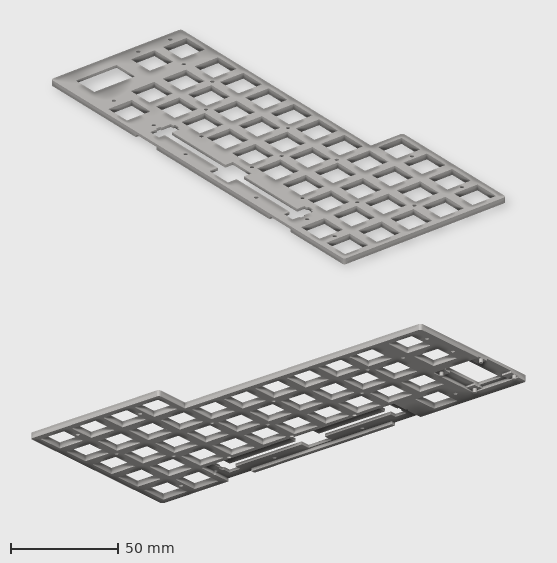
import cadquery as cq
LENGTH = 220.5
DEPTH = 96.5
THICKNESS = 3.0
THIN = 1.5
CORNER_RADIUS = 1.3
SIDE_BORDER = 1.0

SIDE_KEY_CELLS = 1.5
MAIN_COLUMNS = 10
ROWS = 5
PITCH = (LENGTH - 2 * SIDE_BORDER) / (SIDE_KEY_CELLS + MAIN_COLUMNS)
FRONT_BORDER = (DEPTH - ROWS * PITCH) / 2
KEY_HOLE = 14.0
TOP_COLUMNS = 4
LOW_KEY_CENTRE = 2.375
SPACE_CENTRE = 6.375

SCREW_DIAMETER = 2.0
SCREW_POINTS = [
    (162.7, 86.2), (200.5, 86.2),
    (4.6, 67.5), (4.6, 48.5),
    (27.1, 57.8), (48.5, 57.8), (105.5, 57.8), (143.5, 56.7), (200.5, 57.8),
    (67.7, 38.8), (124.5, 38.8), (181.5, 38.8),
    (86.7, 21.2), (124.5, 21.2), (162.5, 21.2),
    (34.5, 10.4), (64.4, 10.4), (179.7, 10.4), (200.5, 10.4),
    (95.5, 4.6), (148.6, 4.6),
]

STAB_OFFSET = 50.3
STAB_WIDTH = 6.6
STAB_BOTTOM = 4.9
STAB_TOP = 17.2
STAB_TOP_NOTCH_WIDTH = 3.0
STAB_TOP_NOTCH = 1.0
STAB_SIDE_NOTCH = 0.9
STAB_SIDE_NOTCH_BOTTOM = 9.0
STAB_SIDE_NOTCH_TOP = 11.7
WIRE_SLOT_BOTTOM = 8.4
WIRE_SLOT_TOP = 12.8
STAB_POCKET_WIDTH = 15.7
FRONT_RIM = 2.2

WINDOW_CENTRE_Y = 20.5
WINDOW_WIDTH = 14.0
WINDOW_DEPTH = 24.3
SEAT_LENGTH = 27.3
SEAT_FRONT = 6.0
SEAT_BACK = 35.3
SEAT_HEIGHT = 0.7
EDGE_POCKET_FRONT = 11.2
EDGE_POCKET_BACK = 29.0
POCKET_LEFT = 5.5
PEG_DIAMETER = 2.0
PEG_DROP = 1.3
PEG_X = (PEG_DIAMETER / 2, 25.0)
PEG_Y = (7.7, 32.2)


def column_x(column):
    """X of a key centre in the regular columns."""
    return SIDE_BORDER + (SIDE_KEY_CELLS + column + 0.5) * PITCH


def row_y(row):
    """Y of a key centre, counting rows from the front."""
    return FRONT_BORDER + (row + 0.5) * PITCH


def block(x_min, x_max, y_min, y_max, z_min, z_max):
    """Box given by its limits."""
    size = (x_max - x_min, y_max - y_min, z_max - z_min)
    return cq.Workplane("XY").box(*size, centered=False).translate((x_min, y_min, z_min))


def through(x_min, x_max, y_min, y_max):
    """Rectangular cut through the whole plate."""
    return block(x_min, x_max, y_min, y_max, 0, THICKNESS)


def plate():
    """Plate with the back row standing out over the last columns only."""
    step_x = column_x(MAIN_COLUMNS - TOP_COLUMNS) - PITCH / 2 - FRONT_BORDER
    step_y = DEPTH - PITCH
    outline = [(0, 0), (LENGTH, 0), (LENGTH, DEPTH), (step_x, DEPTH), (step_x, step_y), (0, step_y)]
    body = cq.Workplane("XY").polyline(outline).close().extrude(THICKNESS)
    outer_corners = [(0, 0), (LENGTH, 0), (LENGTH, DEPTH), (step_x, DEPTH), (0, step_y)]
    for x, y in outer_corners:
        body = body.edges(cq.selectors.NearestToPointSelector((x, y, THICKNESS / 2))).fillet(CORNER_RADIUS)
    return body


def key_holes():
    """Square switch openings."""
    centres = []
    for row in (1, 2, 3):
        centres += [(column_x(column), row_y(row)) for column in range(MAIN_COLUMNS)]
    centres += [(column_x(column), row_y(4)) for column in range(MAIN_COLUMNS - TOP_COLUMNS, MAIN_COLUMNS)]
    side_x = SIDE_BORDER + SIDE_KEY_CELLS / 2 * PITCH
    centres += [(side_x, row_y(row)) for row in (2, 3)]
    centres += [(SIDE_BORDER + cells * PITCH, row_y(0)) for cells in (LOW_KEY_CENTRE, SPACE_CENTRE)]
    centres += [(column_x(column), row_y(0)) for column in (MAIN_COLUMNS - 2, MAIN_COLUMNS - 1)]
    return cq.Workplane("XY").pushPoints(centres).rect(KEY_HOLE, KEY_HOLE).extrude(THICKNESS)


def stabiliser_cuts():
    """Two stabiliser openings joined by the wire slot, and the thinned area under them."""
    space_x = SIDE_BORDER + SPACE_CENTRE * PITCH
    cuts = through(space_x - STAB_OFFSET, space_x + STAB_OFFSET, WIRE_SLOT_BOTTOM, WIRE_SLOT_TOP)
    half_width = STAB_WIDTH / 2
    half_notch = STAB_TOP_NOTCH_WIDTH / 2
    half_pocket = STAB_POCKET_WIDTH / 2
    pocket_top = FRONT_BORDER + PITCH
    pocket_height = THICKNESS - THIN
    for side in (-1, 1):
        x = space_x + side * STAB_OFFSET
        side_x = x + side * STAB_SIDE_NOTCH
        cuts = cuts.union(through(x - half_width, x + half_width, STAB_BOTTOM, STAB_TOP))
        cuts = cuts.union(through(x - half_notch, x + half_notch, STAB_TOP, STAB_TOP + STAB_TOP_NOTCH))
        cuts = cuts.union(through(side_x - half_width, side_x + half_width,
                                  STAB_SIDE_NOTCH_BOTTOM, STAB_SIDE_NOTCH_TOP))
        cuts = cuts.union(block(x - half_pocket, x + half_pocket, 0, pocket_top, 0, pocket_height))
    reach = STAB_OFFSET + half_pocket
    return cuts.union(block(space_x - reach, space_x + reach, FRONT_RIM, pocket_top, 0, pocket_height))


def display_cuts():
    """Window, shallow seat open to the left side, and the deeper pocket inside the seat."""
    centre_x = SIDE_BORDER + SIDE_KEY_CELLS / 2 * PITCH
    cuts = through(centre_x - WINDOW_WIDTH / 2, centre_x + WINDOW_WIDTH / 2,
                   WINDOW_CENTRE_Y - WINDOW_DEPTH / 2, WINDOW_CENTRE_Y + WINDOW_DEPTH / 2)
    seat = block(0, SEAT_LENGTH, SEAT_FRONT, SEAT_BACK, 0, SEAT_HEIGHT)
    edge_pocket = block(0, SEAT_LENGTH, EDGE_POCKET_FRONT, EDGE_POCKET_BACK, 0, THICKNESS - THIN)
    inner_pocket = block(POCKET_LEFT, SEAT_LENGTH - POCKET_LEFT, SEAT_FRONT, SEAT_BACK, 0, THICKNESS - THIN)
    return cuts.union(seat).union(edge_pocket).union(inner_pocket)


def pegs():
    """Locating pegs standing down from the display seat."""
    points = [(x, y) for x in PEG_X for y in PEG_Y]
    return (cq.Workplane("XY").workplane(offset=-PEG_DROP).pushPoints(points)
            .circle(PEG_DIAMETER / 2).extrude(PEG_DROP + SEAT_HEIGHT))


def screw_holes():
    """Round holes through the plate."""
    return cq.Workplane("XY").pushPoints(SCREW_POINTS).circle(SCREW_DIAMETER / 2).extrude(THICKNESS)


result = plate().cut(key_holes()).cut(stabiliser_cuts()).cut(display_cuts()).cut(screw_holes()).union(pegs())